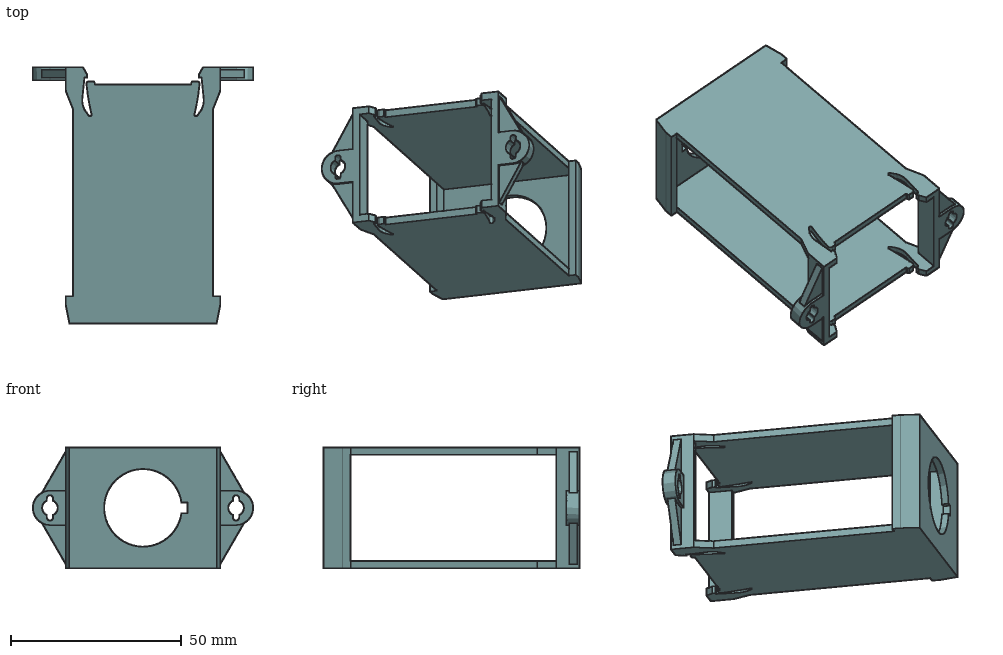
import cadquery as cq
import math

width = 64.5
length = 75.0
height = 35.3
plate_thickness = 2.2
corner_wall_thickness = 2.2
front_wall_thickness = 2.0
half_width = 20.5
front_y = -length / 2
back_y = length / 2

collar_half_width = 22.65
collar_face_half_width = 21.5
collar_depth = 8.0
collar_taper_depth = 5.55

column_depth = 6.9
arm_taper_depth = 12.4
hook_root_x = 17.55
hook_tip_x = 16.35
hook_tip_depth = 2.1
hook_end_depth = 3.1
hook_neck_x = 17.1

slot_widest_x = 17.7
slot_widest_depth = 9.0
slot_bend_x = 17.6
slot_bend_depth = 10.9
slot_heel_x = 17.0
slot_heel_depth = 12.5
slot_end_x = 15.5
slot_end_depth = 13.9
slot_end_radius = 0.45
slot_inner_bend_x = 16.05
slot_inner_bend_depth = 9.0
slot_mouth_x = 16.6
slot_mouth_depth = 4.95

plate_edge_depth = 5.0
lip_depth = 4.1
lip_inner_x = 14.1
lip_corner_radius = 0.8
lip_chamfer = 0.4

opening_radius = 11.3
key_reach = 13.0
key_width = 3.1

ear_radius = 5.0
ear_center_x = width / 2 - ear_radius
ear_thickness = 3.9
ear_hole_radius = 2.25
ear_slot_length = 7.35
ear_slot_width = 1.7
web_thickness = 2.3
web_half_height = 16.4
web_angle = 60.0
web_end_z = 4.3


def mirror_in_x(shape):
    """Return the shape together with its mirror image across X = 0."""
    return shape.union(shape.mirror("YZ"))


def half_plate_outline():
    """Outline of the +X half of a plate, including its clip arm and slot."""

    def point(x, depth):
        return (x, back_y - depth)

    floor_offset = slot_end_radius * math.sqrt(0.5)
    return (
        cq.Workplane("XY")
        .moveTo(0, front_y)
        .lineTo(collar_face_half_width, front_y)
        .lineTo(collar_half_width, front_y + collar_taper_depth)
        .lineTo(collar_half_width, front_y + collar_depth)
        .lineTo(half_width, front_y + collar_depth)
        .lineTo(*point(half_width, arm_taper_depth))
        .lineTo(*point(collar_half_width, column_depth))
        .lineTo(collar_half_width, back_y)
        .lineTo(hook_root_x, back_y)
        .lineTo(*point(hook_tip_x, hook_tip_depth))
        .lineTo(*point(hook_tip_x, hook_end_depth))
        .lineTo(*point(hook_neck_x, hook_end_depth))
        .lineTo(*point(slot_widest_x, slot_widest_depth))
        .threePointArc(
            point(slot_bend_x, slot_bend_depth),
            point(slot_heel_x, slot_heel_depth),
        )
        .lineTo(*point(slot_end_x + floor_offset, slot_end_depth + floor_offset))
        .threePointArc(
            point(slot_end_x - floor_offset, slot_end_depth + floor_offset),
            point(slot_end_x - slot_end_radius, slot_end_depth),
        )
        .threePointArc(
            point(slot_inner_bend_x, slot_inner_bend_depth),
            point(slot_mouth_x, slot_mouth_depth),
        )
        .radiusArc(point(slot_mouth_x - lip_corner_radius, lip_depth), -lip_corner_radius)
        .lineTo(*point(lip_inner_x + lip_chamfer, lip_depth))
        .lineTo(*point(lip_inner_x, lip_depth + lip_chamfer))
        .lineTo(*point(lip_inner_x, plate_edge_depth))
        .lineTo(*point(0, plate_edge_depth))
        .close()
    )


def half_block(x_size, y_size, z_size, y_start):
    """Block from X = 0 towards +X and from y_start towards +Y, centred on Z = 0."""
    block = cq.Workplane("XY").box(x_size, y_size, z_size, centered=(False, False, True))
    return block.translate((0, y_start, 0))


def frame():
    """Plate outline at full height, hollowed to leave plates, front wall and corner walls."""
    body = half_plate_outline().extrude(height / 2, both=True)
    gap = height - 2 * plate_thickness
    cavity = half_block(
        collar_half_width - corner_wall_thickness,
        length - front_wall_thickness,
        gap,
        front_y + front_wall_thickness,
    )
    side_window = half_block(
        collar_half_width, length - collar_depth - column_depth, gap, front_y + collar_depth
    )
    return mirror_in_x(body.cut(cavity).cut(side_window))


def front_opening():
    """Cutter for the round opening with a key notch on the +X side."""
    front_plane = cq.Workplane("XZ", origin=(0, front_y, 0))
    bore = front_plane.circle(opening_radius).extrude(-front_wall_thickness)
    key = half_block(key_reach, front_wall_thickness, key_width, front_y)
    return bore.union(key)


def ear():
    """Mounting ear on the +X side with its bracing webs and slotted screw hole."""
    back_plane = cq.Workplane("XZ", origin=(0, back_y, 0))
    root_length = ear_center_x - collar_half_width
    pad = (
        back_plane.center(ear_center_x - root_length / 2, 0)
        .rect(root_length, 2 * ear_radius)
        .extrude(ear_thickness)
    )
    boss = back_plane.center(ear_center_x, 0).circle(ear_radius).extrude(ear_thickness)

    web_end_x = collar_half_width + (web_half_height - web_end_z) / math.tan(math.radians(web_angle))
    web_gap = (ear_thickness - web_thickness) / 2
    web = (
        cq.Workplane("XZ", origin=(0, back_y - web_gap, 0))
        .polyline(
            [
                (collar_half_width, -web_half_height),
                (web_end_x, -web_end_z),
                (web_end_x, web_end_z),
                (collar_half_width, web_half_height),
            ]
        )
        .close()
        .extrude(web_thickness)
    )
    hole = back_plane.center(ear_center_x, 0).circle(ear_hole_radius).extrude(ear_thickness)
    slot = (
        back_plane.center(ear_center_x, 0)
        .slot2D(ear_slot_length, ear_slot_width, 90)
        .extrude(ear_thickness)
    )
    return pad.union(boss).union(web).cut(hole).cut(slot)


result = frame().cut(front_opening()).union(mirror_in_x(ear()))